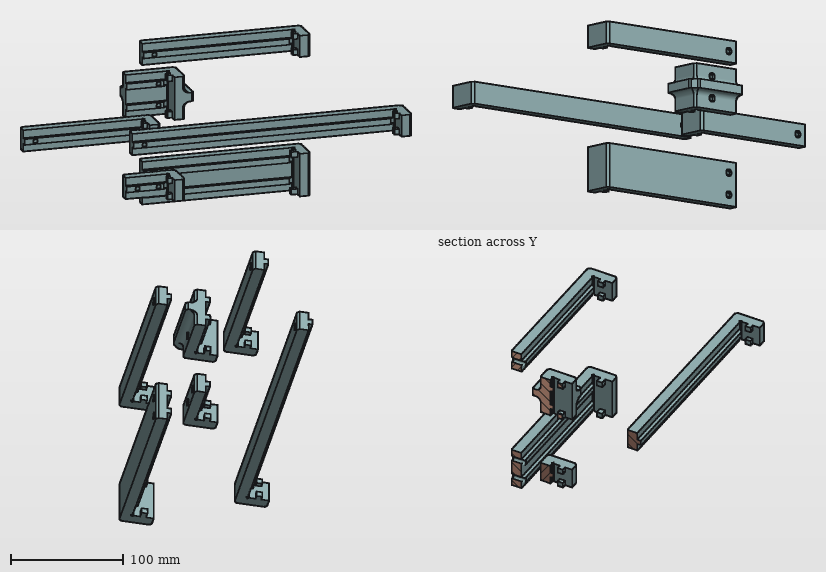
import cadquery as cq
import math

TOTAL_WIDTH = 148.0
TOTAL_DEPTH = 337.7
TOTAL_HEIGHT = 150.0
COLUMN_COUNT = 5
FOOT_LENGTH = 29.7
COLUMN_PITCH = (TOTAL_WIDTH - FOOT_LENGTH) / (COLUMN_COUNT - 1)

ARM_THICKNESS = 10.0
FOOT_THICKNESS = 9.8
CORNER_CHAMFER = 2.0
RELIEF_REACH = 1.5
SINGLE_HEIGHT = 20.0
DOUBLE_HEIGHT = 2 * SINGLE_HEIGHT

RIB_WIDTH = 5.5
RIB_PROJECTION = 3.7
RIB_END_GAP = 1.5

PEG_START = 17.2
PEG_WIDTH = 5.5
PEG_HEIGHT = 5.0
PEG_PROJECTION = 4.0
LONG_PEG_PROJECTION = 5.7
HANDLE_PEG_HEIGHT = 5.7
HANDLE_PEG_PROJECTION = 5.0
HANDLE_PEG_CHAMFER = 1.0

HOLE_DIAMETER = 4.0
HEAD_DIAMETER = 6.5
TIP_HOLE = 10.0
INNER_HOLE = 29.7

RIDGE_WIDTH = 8.0
RIDGE_PROJECTION = 8.0
RIDGE_FILLET = 5.0
RIDGE_CORNER = 5.0
RIDGE_BEVEL_ANGLE = 22.5
RIDGE_BEVEL = 2.0
RIDGE_OVERRUN = 6.8

SHORT_ARM = 49.3
MEDIUM_ARM = 121.5
LONG_ARM = 150.5
LONGEST_ARM = 254.5
LONG_ARM_Y = 280.3
SHORT_ARM_Y = 154.0
SHORT_BRACKET_Z = 16.2
MEDIUM_BRACKET_Z = 79.5
LONGEST_BRACKET_Z = 85.8
HANDLE_Z = 92.2


def prism(outline, z, height):
    return cq.Workplane("XY").workplane(offset=z).polyline(outline).close().extrude(height)


def bracket_outline(arm_length):
    """L outline with its outer corner at the origin, the arm along -Y and the foot along +X."""
    c = CORNER_CHAMFER
    return [
        (0, -c),
        (c, 0),
        (FOOT_LENGTH - c, 0),
        (FOOT_LENGTH, -c),
        (FOOT_LENGTH, -FOOT_THICKNESS),
        (ARM_THICKNESS, -FOOT_THICKNESS),
        (ARM_THICKNESS, -arm_length),
        (c, -arm_length),
        (0, c - arm_length),
    ]


def ridge_outline(arm_length):
    """Bracket outline with its outer side moved out to the top of the ridge."""
    c = CORNER_CHAMFER
    out = RIDGE_PROJECTION
    bevel_depth = RIDGE_BEVEL * math.tan(math.radians(RIDGE_BEVEL_ANGLE))
    return [
        (-out, out - RIDGE_CORNER - RIDGE_BEVEL),
        (-out + bevel_depth, out - RIDGE_CORNER),
        (-out + RIDGE_CORNER, out - bevel_depth),
        (-out + RIDGE_CORNER + RIDGE_BEVEL, out),
        (FOOT_LENGTH - c, out),
        (FOOT_LENGTH, out - c),
        (FOOT_LENGTH, -FOOT_THICKNESS),
        (ARM_THICKNESS, -FOOT_THICKNESS),
        (ARM_THICKNESS, -arm_length),
        (c - out, -arm_length),
        (-out, c - arm_length),
    ]


def module_centres(height):
    """Heights of the ribs and hole rows."""
    count = round(height / SINGLE_HEIGHT)
    return [(i + 0.5) * height / count for i in range(count)]


def rib(arm_length, z):
    """Rib on the arm with a 45 degree end that clears the foot."""
    start = -FOOT_THICKNESS - RIB_END_GAP
    outline = [
        (ARM_THICKNESS, start),
        (ARM_THICKNESS + RIB_PROJECTION, start - RIB_PROJECTION),
        (ARM_THICKNESS + RIB_PROJECTION, -arm_length),
        (ARM_THICKNESS, -arm_length),
    ]
    return prism(outline, z - RIB_WIDTH / 2, RIB_WIDTH)


def peg(height, projection, chamfer=0):
    """Peg standing on the base plane, with its end chamfered except along that plane."""
    body = cq.Workplane("XY").box(PEG_WIDTH, projection, height, centered=False)
    if chamfer > 0:
        body = body.faces("<Y").edges("|Z or >Z").chamfer(chamfer)
    return body.translate((PEG_START, -FOOT_THICKNESS - projection, 0))


def hole(y, z):
    """Cutter for a countersunk hole, with head clearance in front of the arm."""
    depth = ARM_THICKNESS + RIB_PROJECTION
    sink = (HEAD_DIAMETER - HOLE_DIAMETER) / 2
    half_section = [
        (-RIDGE_PROJECTION, 0),
        (-RIDGE_PROJECTION, HEAD_DIAMETER / 2),
        (0, HEAD_DIAMETER / 2),
        (sink, HOLE_DIAMETER / 2),
        (depth, HOLE_DIAMETER / 2),
        (depth, 0),
    ]
    cutter = cq.Workplane("XY").polyline(half_section).close().revolve(360, (0, 0, 0), (1, 0, 0))
    return cutter.translate((0, y, z))


def finish_bracket(body, arm_length, height, hole_distances, lower_peg):
    """Add the corner relief, pegs, ribs and holes to a plain L."""
    inner_corner = cq.Workplane("XY").center(ARM_THICKNESS, -FOOT_THICKNESS)
    relief = inner_corner.polygon(4, 2 * RELIEF_REACH).extrude(height)
    body = body.cut(relief)
    upper_peg = lower_peg.mirror("XY").translate((0, 0, height))
    body = body.union(lower_peg).union(upper_peg)
    for z in module_centres(height):
        body = body.union(rib(arm_length, z))
        for distance in hole_distances:
            body = body.cut(hole(distance - arm_length, z))
    return body


def plain_bracket(arm_length, height, hole_distances, peg_projection=PEG_PROJECTION):
    body = prism(bracket_outline(arm_length), 0, height)
    return finish_bracket(body, arm_length, height, hole_distances, peg(PEG_HEIGHT, peg_projection))


def handle_ridge(arm_length, height):
    """Ridge with filleted roots, following the outer side of the arm and foot.

    The fillets are swept past both ends along the end chamfers and then trimmed to length.
    """
    c = CORNER_CHAMFER
    middle = height / 2
    path_points = [
        (RIDGE_OVERRUN, c - arm_length - RIDGE_OVERRUN),
        (0, c - arm_length),
        (0, -c),
        (c, 0),
        (FOOT_LENGTH - c, 0),
        (FOOT_LENGTH - c + RIDGE_OVERRUN, -RIDGE_OVERRUN),
    ]
    path = cq.Workplane("XY").workplane(offset=middle).polyline(path_points)
    start_plane = cq.Plane(origin=(*path_points[0], middle), xDir=(-1, -1, 0), normal=(-1, 1, 0))

    half = RIDGE_WIDTH / 2
    r = RIDGE_FILLET
    mid = r * (1 - math.sqrt(0.5))
    section = (
        cq.Workplane(start_plane)
        .moveTo(0, -half - r)
        .threePointArc((mid, -half - mid), (r, -half))
        .lineTo(RIDGE_PROJECTION, -half)
        .lineTo(RIDGE_PROJECTION, half)
        .lineTo(r, half)
        .threePointArc((mid, half + mid), (0, half + r))
        .close()
    )
    core = prism(ridge_outline(arm_length), middle - half, RIDGE_WIDTH)
    trim = prism(ridge_outline(arm_length), 0, height)
    return section.sweep(path, transition="right").intersect(trim).union(core)


def handle_bracket(arm_length, height, hole_distances):
    """Double bracket with a ridge around its outer side."""
    body = prism(bracket_outline(arm_length), 0, height).union(handle_ridge(arm_length, height))
    handle_peg = peg(HANDLE_PEG_HEIGHT, HANDLE_PEG_PROJECTION, HANDLE_PEG_CHAMFER)
    return finish_bracket(body, arm_length, height, hole_distances, handle_peg)


def column(index):
    """Left side of a column."""
    return index * COLUMN_PITCH


upper_long_bracket = plain_bracket(LONG_ARM, SINGLE_HEIGHT, [TIP_HOLE]).translate(
    (column(0), LONG_ARM_Y, TOTAL_HEIGHT - SINGLE_HEIGHT)
)
double_bracket = plain_bracket(LONG_ARM, DOUBLE_HEIGHT, [TIP_HOLE], LONG_PEG_PROJECTION).translate(
    (column(0), LONG_ARM_Y, 0)
)
short_bracket = plain_bracket(SHORT_ARM, SINGLE_HEIGHT, [TIP_HOLE, INNER_HOLE]).translate(
    (column(1), SHORT_ARM_Y, SHORT_BRACKET_Z)
)
handle = handle_bracket(SHORT_ARM, DOUBLE_HEIGHT, [INNER_HOLE]).translate(
    (column(1), SHORT_ARM_Y, HANDLE_Z)
)
medium_bracket = plain_bracket(MEDIUM_ARM, SINGLE_HEIGHT, [TIP_HOLE]).translate(
    (column(2), MEDIUM_ARM, MEDIUM_BRACKET_Z)
)
longest_bracket = plain_bracket(LONGEST_ARM, SINGLE_HEIGHT, [TIP_HOLE]).translate(
    (column(COLUMN_COUNT - 1), TOTAL_DEPTH, LONGEST_BRACKET_Z)
)

result = cq.Compound.makeCompound(
    [
        upper_long_bracket.val(),
        double_bracket.val(),
        short_bracket.val(),
        handle.val(),
        medium_bracket.val(),
        longest_bracket.val(),
    ]
)